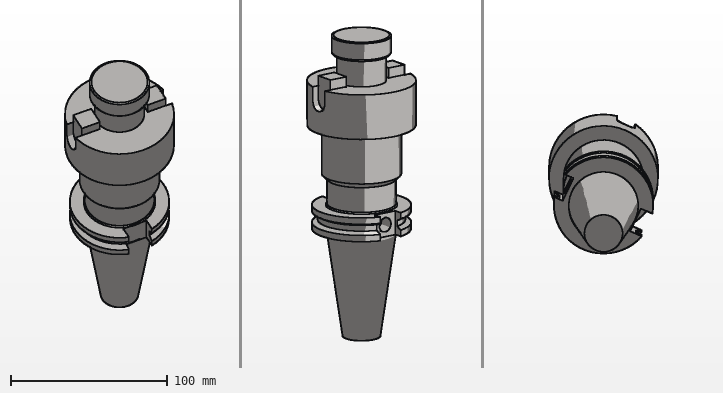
import cadquery as cq

total_height = 200.0
gauge_z = 68.5
flange_bottom_z = 71.5
flange_thickness = 15.8
flange_top_z = flange_bottom_z + flange_thickness
barrel_bottom_z = 108.0
head_bottom_z = 140.2
head_top_z = 169.8
screw_bottom_z = 187.2

taper_end_radius = 12.2
shank_radius = 22.2
flange_radius = 31.8
barrel_radius = 25.5
head_radius = 69.8 / 2
pilot_radius = 31.8 / 2

collar_height = 1.0
collar_radius = shank_radius + 0.8

rim_thickness = 4.2
groove_depth = 3.5
groove_cone_height = 1.8

notch_width = 16.5
shallow_notch_floor = 25.0
deep_notch_floor = 22.5
notch_hole_diameter = 9.5
notch_hole_depth = 10.0

key_width = 12.8
key_length = key_width
key_inner_y = 17.0
key_top_z = 176.5
key_bottom_z = 155.0

screw_radius = 38.2 / 2
screw_edge_inset = 1.2
screw_top_edge_height = 0.5
screw_bottom_edge_height = 1.5


def revolve_profile(points):
    """Revolve a closed (radius, height) outline about the Z axis."""
    return cq.Workplane("XZ").polyline(points).close().revolve(360, (0, 0), (0, 1))


def key_shape(length):
    """Round-bottomed block on the -Y side, running outward from the inner key face."""
    half_width = key_width / 2
    arc_z = key_bottom_z + half_width
    return (
        cq.Workplane("XZ", origin=(0, -key_inner_y, 0))
        .moveTo(-half_width, key_top_z)
        .lineTo(-half_width, arc_z)
        .threePointArc((0, key_bottom_z), (half_width, arc_z))
        .lineTo(half_width, key_top_z)
        .close()
        .extrude(length)
    )


def both_sides(shape):
    """Return the shape and its copy turned half way about the Z axis."""
    return [shape.rotate((0, 0, 0), (0, 0, 1), angle) for angle in (0, 180)]


def flange_notch(side, floor_x):
    """Block that cuts a notch with a flat floor; side is -1 or +1 along X."""
    depth = flange_radius - floor_x
    return cq.Workplane("XY").box(depth, notch_width, flange_thickness).translate(
        (side * (floor_x + depth / 2), 0, flange_bottom_z + flange_thickness / 2)
    )


def make_holder():
    groove_radius = flange_radius - groove_depth
    lower_rim_z = flange_bottom_z + rim_thickness
    upper_rim_z = flange_top_z - rim_thickness
    holder = revolve_profile([
        (0, 0),
        (taper_end_radius, 0),
        (shank_radius, gauge_z),
        (shank_radius, flange_bottom_z),
        (flange_radius, flange_bottom_z),
        (flange_radius, lower_rim_z),
        (groove_radius, lower_rim_z + groove_cone_height),
        (groove_radius, upper_rim_z - groove_cone_height),
        (flange_radius, upper_rim_z),
        (flange_radius, flange_top_z),
        (collar_radius, flange_top_z),
        (shank_radius, flange_top_z + collar_height),
        (shank_radius, barrel_bottom_z - (barrel_radius - shank_radius)),
        (barrel_radius, barrel_bottom_z),
        (barrel_radius, head_bottom_z),
        (head_radius, head_bottom_z),
        (head_radius, head_top_z),
        (pilot_radius, head_top_z),
        (pilot_radius, screw_bottom_z),
        (0, screw_bottom_z),
    ])

    holder = holder.cut(flange_notch(-1, shallow_notch_floor))
    holder = holder.cut(flange_notch(1, deep_notch_floor))

    hole_center = (-shallow_notch_floor, 0, flange_bottom_z + flange_thickness / 2)
    notch_hole = (
        cq.Workplane("YZ", origin=hole_center)
        .circle(notch_hole_diameter / 2)
        .extrude(notch_hole_depth)
    )
    holder = holder.cut(notch_hole)

    for slot in both_sides(key_shape(head_radius - key_inner_y)):
        holder = holder.cut(slot)
    return holder


def make_screw_head():
    edge_radius = screw_radius - screw_edge_inset
    return revolve_profile([
        (0, screw_bottom_z),
        (edge_radius, screw_bottom_z),
        (screw_radius, screw_bottom_z + screw_bottom_edge_height),
        (screw_radius, total_height - screw_top_edge_height),
        (edge_radius, total_height),
        (0, total_height),
    ])


holder = make_holder()
screw_head = make_screw_head()
keys = both_sides(key_shape(key_length))

result = cq.Compound.makeCompound([holder.val(), screw_head.val(), *[key.val() for key in keys]])